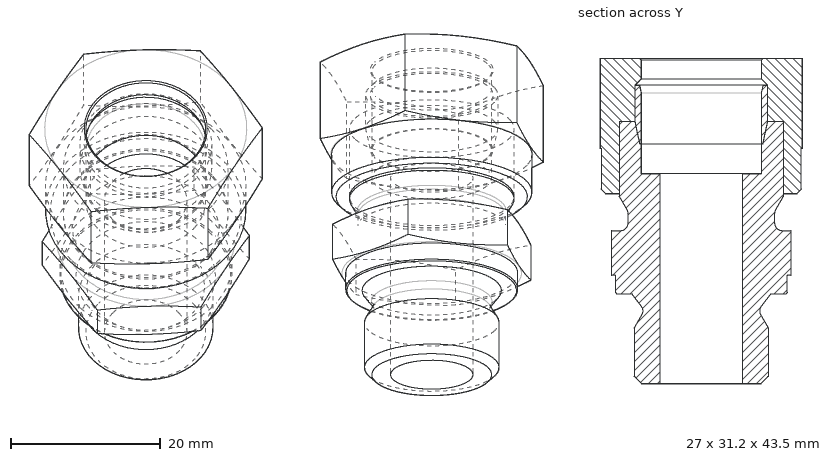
import cadquery as cq
import math


total_height = 43.5
shoulder_z = 12.0
body_hex_z = 14.5
body_hex_height = 6.0
nut_z = 25.4
nut_hex_z = 31.45
ring_top_z = 39.95
body_top_z = 35.1

tube_diameter = 16.0
body_thread_diameter = 22.0
relief_radius = 1.0
quarter_turn = 90.0
hex_chamfer_angle = 15.0

through_diameter = 11.0
tube_stop_z = 28.1
stud_diameter = 18.0
stud_chamfer = 1.0
groove_diameter = 15.7
groove_top_diameter = 18.6
groove_lower_angle = 30.0
groove_upper_angle = 40.0
groove_lower_cone_z = 7.5
shoulder_diameter = 23.0
shoulder_chamfer = 0.17
body_hex_flats = 24.0
neck_diameter = 19.7
neck_cone_angle = 30.0
body_thread_z = 25.05

nut_hex_flats = 27.0
nut_skirt_diameter = 26.8
nut_skirt_chamfer = 0.6
nut_mouth_chamfer = 0.2

ring_diameter = 17.65
ring_lead_in_height = 1.1
ring_nose_length = 3.05
ring_taper_angle = 12.0
ring_nose_end_z = body_top_z - ring_nose_length
ring_taper = math.tan(math.radians(ring_taper_angle))
ring_nose_end_diameter = ring_diameter - 2 * ring_nose_length * ring_taper
ring_lead_in_width = ring_lead_in_height * ring_taper


def revolved(profile):
    """Turn a closed (radius, height) profile around the Z axis."""
    return profile.close().revolve(360, (0, 0, 0), (0, 1, 0))


def turned(points):
    """Turn a straight-sided outline of (radius, height) points around the Z axis."""
    return revolved(cq.Workplane("XZ").polyline(points))


def chamfered_hex(flats, bottom_z, height):
    """Hexagon with corners on +Y and -Y, both ends turned down to a circle inside the flats."""
    corner_radius = flats / math.sqrt(3)
    corner_drop = (corner_radius - flats / 2) * math.tan(math.radians(hex_chamfer_angle))
    top_z = bottom_z + height
    prism = (
        cq.Workplane("XY", origin=(0, 0, bottom_z))
        .transformed(rotate=(0, 0, 90))
        .polygon(6, 2 * corner_radius)
        .extrude(height)
    )
    envelope = turned([
        (0, bottom_z),
        (flats / 2, bottom_z),
        (corner_radius, bottom_z + corner_drop),
        (corner_radius, top_z - corner_drop),
        (flats / 2, top_z),
        (0, top_z),
    ])
    return prism.intersect(envelope)


def arc_point(center_r, center_z, angle):
    """Point of a relief arc that bulges toward the axis; the angle is measured up from the axis side."""
    a = math.radians(angle)
    return (center_r - relief_radius * math.cos(a), center_z + relief_radius * math.sin(a))


def make_stud_and_shoulder():
    """Threaded stud with a chamfered end, relief groove and sealing shoulder."""
    stud_r = stud_diameter / 2
    shoulder_r = shoulder_diameter / 2
    groove_center_r = groove_diameter / 2 + relief_radius
    lower_r = arc_point(groove_center_r, 0, -groove_lower_angle)[0]
    lower_z = groove_lower_cone_z + (stud_r - lower_r) / math.tan(math.radians(groove_lower_angle))
    groove_center_z = lower_z + relief_radius * math.sin(math.radians(groove_lower_angle))
    profile = (
        cq.Workplane("XZ")
        .moveTo(0, 0)
        .lineTo(stud_r - stud_chamfer, 0)
        .lineTo(stud_r, stud_chamfer)
        .lineTo(stud_r, groove_lower_cone_z)
        .lineTo(lower_r, lower_z)
        .threePointArc(
            arc_point(groove_center_r, groove_center_z, 0),
            arc_point(groove_center_r, groove_center_z, groove_upper_angle),
        )
        .lineTo(groove_top_diameter / 2, shoulder_z)
        .lineTo(shoulder_r - shoulder_chamfer, shoulder_z)
        .lineTo(shoulder_r, shoulder_z + shoulder_chamfer)
        .lineTo(shoulder_r, body_hex_z)
        .lineTo(0, body_hex_z)
    )
    return revolved(profile)


def make_neck_and_thread():
    """Neck above the hexagon, filleted at both ends, and the thread that enters the nut."""
    hex_top_z = body_hex_z + body_hex_height
    thread_r = body_thread_diameter / 2
    center_r = neck_diameter / 2 + relief_radius
    lower_center_z = hex_top_z + relief_radius
    cone_start_r = arc_point(center_r, 0, neck_cone_angle)[0]
    cone_start_z = body_thread_z - (thread_r - cone_start_r) / math.tan(math.radians(neck_cone_angle))
    upper_center_z = cone_start_z - relief_radius * math.sin(math.radians(neck_cone_angle))
    profile = (
        cq.Workplane("XZ")
        .moveTo(0, hex_top_z)
        .lineTo(center_r, hex_top_z)
        .threePointArc(
            arc_point(center_r, lower_center_z, -quarter_turn / 2),
            arc_point(center_r, lower_center_z, 0),
        )
        .lineTo(neck_diameter / 2, upper_center_z)
        .threePointArc(
            arc_point(center_r, upper_center_z, neck_cone_angle / 2),
            (cone_start_r, cone_start_z),
        )
        .lineTo(thread_r, body_thread_z)
        .lineTo(thread_r, body_top_z)
        .lineTo(0, body_top_z)
    )
    return revolved(profile)


def make_stud_body():
    """Stud, hexagon and upper thread in one piece, bored for the fluid, the tube and the ring nose."""
    outside = (
        make_stud_and_shoulder()
        .union(chamfered_hex(body_hex_flats, body_hex_z, body_hex_height))
        .union(make_neck_and_thread())
    )
    bore = turned([
        (0, 0),
        (through_diameter / 2, 0),
        (through_diameter / 2, tube_stop_z),
        (tube_diameter / 2, tube_stop_z),
        (tube_diameter / 2, ring_nose_end_z),
        (ring_nose_end_diameter / 2, ring_nose_end_z),
        (ring_diameter / 2, body_top_z),
        (0, body_top_z),
    ])
    return outside.cut(bore)


def make_nut():
    """Hexagon nut with a round skirt, hollowed for the body thread, the ring and the tube."""
    skirt_r = nut_skirt_diameter / 2
    tube_r = tube_diameter / 2
    ring_r = ring_diameter / 2
    thread_r = body_thread_diameter / 2
    clamping_cone_top_z = ring_top_z + (ring_r - tube_r)
    skirt = turned([
        (0, nut_z),
        (skirt_r - nut_skirt_chamfer, nut_z),
        (skirt_r, nut_z + nut_skirt_chamfer),
        (skirt_r, nut_hex_z),
        (0, nut_hex_z),
    ])
    cavity = turned([
        (0, nut_z),
        (thread_r, nut_z),
        (thread_r, body_top_z),
        (ring_r, body_top_z),
        (ring_r, ring_top_z),
        (tube_r, clamping_cone_top_z),
        (tube_r, total_height - nut_mouth_chamfer),
        (tube_r + nut_mouth_chamfer, total_height),
        (0, total_height),
    ])
    head = chamfered_hex(nut_hex_flats, nut_hex_z, total_height - nut_hex_z)
    return head.union(skirt).cut(cavity)


def make_cutting_ring():
    """Ring with a conical lead-in on top and a tapered nose seated in the body."""
    tube_r = tube_diameter / 2
    return turned([
        (tube_r, ring_nose_end_z),
        (ring_nose_end_diameter / 2, ring_nose_end_z),
        (ring_diameter / 2, body_top_z),
        (ring_diameter / 2, ring_top_z),
        (tube_r + ring_lead_in_width, ring_top_z),
        (tube_r, ring_top_z - ring_lead_in_height),
    ])


stud_body = make_stud_body()
nut = make_nut()
cutting_ring = make_cutting_ring()

result = cq.Compound.makeCompound([stud_body.val(), nut.val(), cutting_ring.val()])